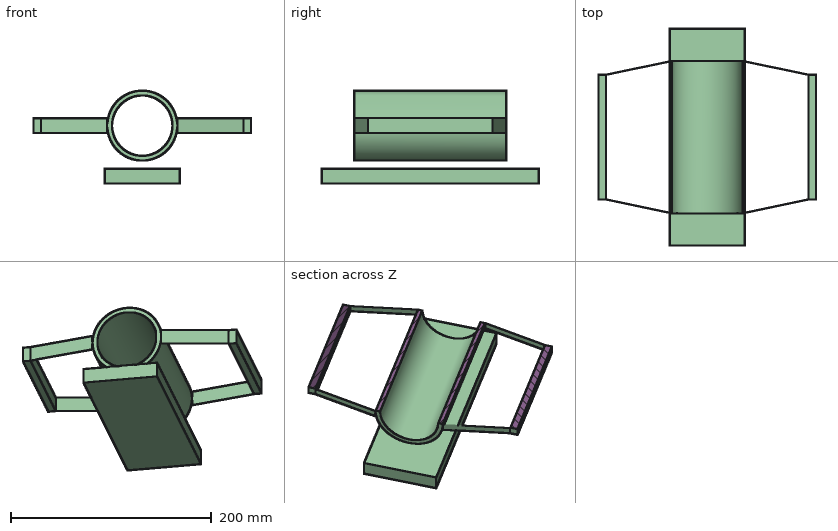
import cadquery as cq

tube_outer_diameter = 70.0
tube_bore_diameter = 60.0
tube_length = 152.0

plate_width = 75.0
plate_length = 216.5
plate_thickness = 15.0
plate_gap = 7.89

overall_width = 217.28
grip_width = 7.7
grip_length = 124.4
handle_height = 15.0
strap_thickness = 0.05

tube_radius = tube_outer_diameter / 2
grip_outer_x = overall_width / 2
grip_inner_x = grip_outer_x - grip_width


def make_tube():
    """Plain round tube centred on the origin."""
    return (
        cq.Workplane("XZ", origin=(0, tube_length / 2, 0))
        .circle(tube_radius)
        .circle(tube_bore_diameter / 2)
        .extrude(tube_length)
    )


def make_plate():
    """Rectangular plate centred under the tube."""
    plate_center_z = -tube_radius - plate_gap - plate_thickness / 2
    return (
        cq.Workplane("XY")
        .box(plate_width, plate_length, plate_thickness)
        .translate((0, 0, plate_center_z))
    )


def make_strap(side, end):
    """Thin strap from the grip's inner face to the tube's side line, at one end of the handle."""
    grip_y = end * grip_length / 2
    tube_y = end * tube_length / 2
    inset = end * strap_thickness
    corners = [
        (side * grip_inner_x, grip_y),
        (side * tube_radius, tube_y),
        (side * tube_radius, tube_y - inset),
        (side * grip_inner_x, grip_y - inset),
    ]
    return (
        cq.Workplane("XY", origin=(0, 0, -handle_height / 2))
        .polyline(corners)
        .close()
        .extrude(handle_height)
    )


def make_handle(side):
    """Grip bar with its two straps, on the side of the tube given by the sign."""
    grip_center_x = side * (grip_inner_x + grip_outer_x) / 2
    handle = (
        cq.Workplane("XY")
        .box(grip_width, grip_length, handle_height)
        .translate((grip_center_x, 0, 0))
    )
    for end in (-1, 1):
        handle = handle.union(make_strap(side, end))
    return handle


tube = make_tube()
plate = make_plate()
handles = [make_handle(side) for side in (-1, 1)]

result = cq.Compound.makeCompound([tube.val(), plate.val(), *[handle.val() for handle in handles]])